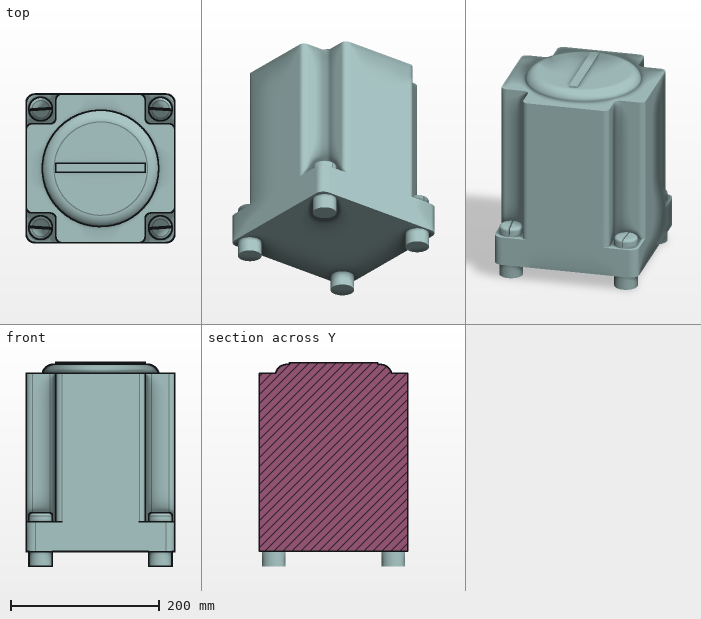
import cadquery as cq

side = 200.0
total_height = 274.5

flange_height = 40.0
flange_corner_radius = 12.0

bolt_diameter = 31.8
bolt_pitch_x = 161.0
bolt_pitch_y = 159.5
bolt_protrusion = 20.0
head_height = 12.0
head_fillet = 4.0
slot_width = 2.0
slot_tilt = 4.0

notch_side = 40.0
notch_fillet = 8.0

cap_flat_radius = 62.9
cap_rim_radius = 16.0
cap_rise = 12.0

strip_length = 120.0
strip_width = 11.8
strip_height = 2.5
strip_offset_y = 0.8

flange_bottom = bolt_protrusion
flange_top = flange_bottom + flange_height
cap_top = total_height - strip_height
housing_top = cap_top - cap_rise


def block(length, width, bottom, top):
    """Box centred on the Z axis between two heights."""
    return cq.Workplane("XY").workplane(offset=bottom).rect(length, width).extrude(top - bottom)


def make_flange():
    return block(side, side, flange_bottom, flange_top).edges("|Z").fillet(flange_corner_radius)


def make_housing():
    """Cross-shaped column: two crossing blocks with every upright edge rounded."""
    arm_width = side - 2 * notch_side
    along_x = block(side, arm_width, flange_top, housing_top)
    along_y = block(arm_width, side, flange_top, housing_top)
    return along_x.union(along_y).edges("|Z").fillet(notch_fillet)


def make_cap():
    """Disc reaching below the housing top, so the rim arc meets the housing at a slight angle."""
    sunk_depth = 2 * cap_rim_radius
    disc = (
        cq.Workplane("XY")
        .workplane(offset=cap_top - sunk_depth)
        .circle(cap_flat_radius + cap_rim_radius)
        .extrude(sunk_depth)
    )
    return disc.faces(">Z").edges().fillet(cap_rim_radius)


def make_name_strip():
    return block(strip_length, strip_width, cap_top, total_height).translate((0, strip_offset_y, 0))


def make_bolt(x_sign, y_sign):
    """Bolt through one flange corner; the slot spans the full head height and tilts by corner."""
    head_top = flange_top + head_height
    bolt = (
        cq.Workplane("XY")
        .circle(bolt_diameter / 2)
        .extrude(head_top)
        .faces(">Z")
        .edges()
        .fillet(head_fillet)
    )
    slot = block(2 * bolt_diameter, slot_width, flange_top, head_top)
    slot = slot.rotate((0, 0, 0), (0, 0, 1), -x_sign * y_sign * slot_tilt)
    position = (x_sign * bolt_pitch_x / 2, y_sign * bolt_pitch_y / 2, 0)
    return bolt.cut(slot).translate(position)


result = make_flange().union(make_housing()).union(make_cap()).union(make_name_strip())
for x_sign in (-1, 1):
    for y_sign in (-1, 1):
        result = result.union(make_bolt(x_sign, y_sign))